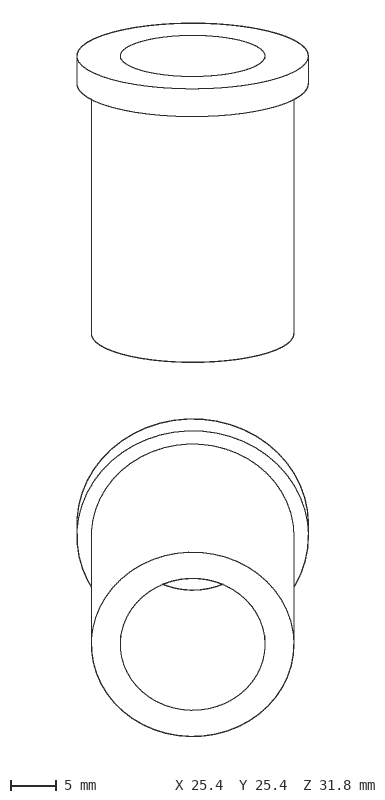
import cadquery as cq

flange_diameter = 25.4
body_diameter = 22.225
bore_diameter = 15.875
total_height = 31.75
flange_thickness = 3.175

body_height = total_height - flange_thickness


def make_body():
    """Cylindrical sleeve below the flange, standing on Z = 0."""
    return cq.Workplane("XY").circle(body_diameter / 2).extrude(body_height)


def add_flange(part):
    """Wider collar on top of the sleeve."""
    return part.faces(">Z").workplane().circle(flange_diameter / 2).extrude(flange_thickness)


def cut_bore(part):
    """Straight bore through the full height."""
    return part.faces(">Z").workplane().circle(bore_diameter / 2).cutThruAll()


result = cut_bore(add_flange(make_body()))